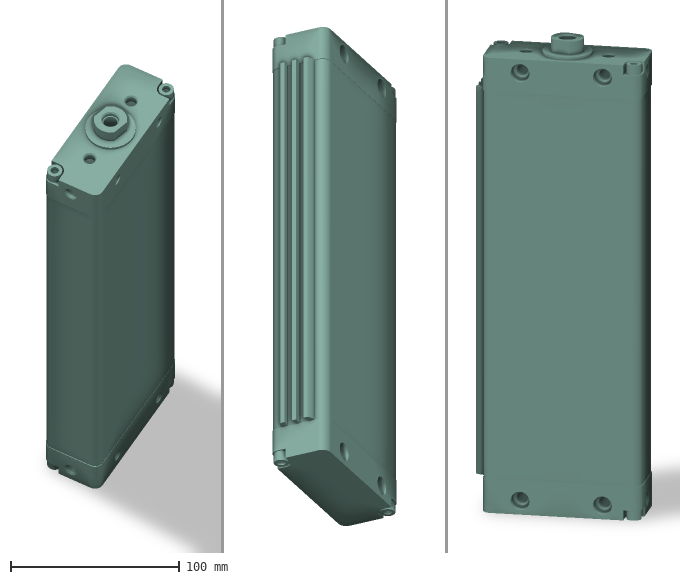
import cadquery as cq
import math


total_height = 292.0
body_width = 38.0
body_depth = 96.7
corner_radius = 5.3

cap_height = 21.0
rod_projection = 10.0
body_height = total_height - rod_projection
barrel_height = body_height - 2 * cap_height
barrel_side_inset = 0.15
barrel_front_inset = 0.45

collar_diameter = 30.0
collar_height = 1.8

rod_diameter = 20.0
wrench_width = 17.0
wrench_angle = 165.0
rod_hole_diameter = 8.5
rod_hole_depth = 14.5
rod_counterbore_diameter = 10.0
rod_counterbore_depth = 3.0
rod_countersink_diameter = 11.5

mounting_spacing = 50.0
mounting_hole_diameter = 6.7
mounting_counterbore_diameter = 11.5
mounting_counterbore_depth = 6.0
mounting_countersink_diameter = 8.5
cross_hole_inset = 8.5

blind_hole_diameter = 6.7
port_depth = 11.7
top_hole_depth = 4.7
blind_countersink_diameter = 8.5

pocket_diameter = 11.0
pocket_depth = 6.0
screw_inset = 5.3
head_diameter = 9.0
socket_diameter = 5.0
socket_depth = 3.0

rail_projection = 5.3
rail_top = body_depth / 2 + rail_projection
rail_lip_height = 3.2
middle_rail_width = 2.5
rail_lip_x = 6.5
rail_neck_x = 7.3
rail_outer_top_x = 9.0
rail_outer_base_x = 11.0

countersink_slope = 1.0
drill_point_slope = math.tan(math.radians(30))


def rounded_block(width, depth, height, radius):
    """Upright block centred on the Z axis with its base on Z = 0."""
    return cq.Workplane("XY").rect(width, depth).extrude(height).edges("|Z").fillet(radius)


def hole_cutter(diameter, depth, pointed=False):
    """Hole that opens at Z = 0 and runs down -Z to a flat floor or a drill point."""
    hole = cq.Workplane("XY").circle(diameter / 2).extrude(-depth)
    if not pointed:
        return hole
    return hole.union(cone_cutter(diameter, drill_point_slope).translate((0, 0, -depth)))


def cone_cutter(diameter, slope):
    """Cone with its wide end on Z = 0 and its tip down -Z; slope is its depth over its radius."""
    radius = diameter / 2
    profile = cq.Workplane("XZ").polyline([(0, 0), (radius, 0), (0, -radius * slope)]).close()
    return profile.revolve(360, (0, 0, 0), (0, 1, 0))


def countersink_cutter(diameter):
    """Countersink for a hole mouth on Z = 0."""
    return cone_cutter(diameter, countersink_slope)


def mounting_cutter():
    """Stepped through hole that enters the -X side and runs along +X."""
    countersink = countersink_cutter(mounting_countersink_diameter)
    hole = (
        hole_cutter(mounting_hole_diameter, body_width)
        .union(countersink.translate((0, 0, -mounting_counterbore_depth)))
        .union(hole_cutter(mounting_counterbore_diameter, mounting_counterbore_depth))
    )
    return hole.rotate((0, 0, 0), (0, 1, 0), -90).translate((-body_width / 2, 0, 0))


def blind_cutter(depth):
    """Flat-bottomed hole with a countersunk mouth on Z = 0, running down -Z."""
    return hole_cutter(blind_hole_diameter, depth).union(countersink_cutter(blind_countersink_diameter))


def corner_pocket_cutter():
    """Pocket below Z = 0, round around the screw axis and open to both sides of the corner."""
    radius = pocket_diameter / 2
    pocket = cq.Workplane("XY").circle(radius).extrude(-pocket_depth)
    opening = cq.Workplane("XY").rect(pocket_diameter, pocket_diameter).extrude(-pocket_depth)
    for towards_side in ((radius, 0, 0), (0, radius, 0)):
        pocket = pocket.union(opening.translate(towards_side))
    return pocket


def screw_head():
    """Socket screw head standing on the floor of a corner pocket below Z = 0."""
    head = cq.Workplane("XY").circle(head_diameter / 2).extrude(-pocket_depth)
    return head.cut(hole_cutter(socket_diameter, socket_depth, pointed=True))


def end_cap():
    """Cap with its outer face up on Z = cap_height."""
    cap = rounded_block(body_width, body_depth, cap_height, corner_radius)
    cross_hole_z = cap_height - cross_hole_inset
    for side in (-1, 1):
        cap = cap.cut(mounting_cutter().translate((0, side * mounting_spacing / 2, cross_hole_z)))
    corner = (body_width / 2 - screw_inset, body_depth / 2 - screw_inset, cap_height)
    for turn in (0, 180):
        pocket = corner_pocket_cutter().translate(corner).rotate((0, 0, 0), (0, 0, 1), turn)
        head = screw_head().translate(corner).rotate((0, 0, 0), (0, 0, 1), turn)
        cap = cap.cut(pocket).union(head)
    port = blind_cutter(port_depth).rotate((0, 0, 0), (1, 0, 0), 90)
    return cap.cut(port.translate((0, -body_depth / 2, cross_hole_z)))


def make_upper_cap():
    """End cap with a bearing collar, a bore for the rod and two blind holes in its top."""
    collar = cq.Workplane("XY").circle(collar_diameter / 2).extrude(collar_height)
    cap = end_cap().union(collar.translate((0, 0, cap_height)))
    bore = cq.Workplane("XY").circle(rod_diameter / 2).extrude(cap_height + collar_height)
    cap = cap.cut(bore)
    for side in (-1, 1):
        cap = cap.cut(blind_cutter(top_hole_depth).translate((0, side * mounting_spacing / 2, cap_height)))
    return cap.translate((0, 0, body_height - cap_height))


def make_lower_cap():
    """End cap turned over, so that its outer face lies on Z = 0."""
    return end_cap().mirror("XY").translate((0, 0, cap_height))


def make_barrel():
    """Barrel just inside the outline of the caps, with three sensor rails along its back."""
    barrel_width = body_width - 2 * barrel_side_inset
    barrel_depth = body_depth - 2 * barrel_front_inset
    barrel = rounded_block(barrel_width, barrel_depth, barrel_height, corner_radius)
    root_y = barrel_depth / 2 - corner_radius
    lip_y = rail_top - rail_lip_height
    middle_rail = cq.Workplane("XY").box(
        middle_rail_width, rail_top - root_y, barrel_height, centered=(True, False, False)
    )
    barrel = barrel.union(middle_rail.translate((0, root_y, 0)))
    outer_rail = (
        cq.Workplane("XY")
        .moveTo(rail_outer_base_x, root_y)
        .lineTo(rail_outer_base_x, barrel_depth / 2)
        .tangentArcPoint((rail_outer_top_x, rail_top), relative=False)
        .lineTo(rail_lip_x, rail_top)
        .lineTo(rail_lip_x, lip_y)
        .lineTo(rail_neck_x, lip_y)
        .lineTo(rail_neck_x, root_y)
        .close()
        .extrude(barrel_height)
    )
    barrel = barrel.union(outer_rail).union(outer_rail.mirror("YZ"))
    return barrel.translate((0, 0, cap_height))


def make_rod():
    """Piston rod from the barrel up through the cap, with two wrench flats and a stepped end hole."""
    rod_base = body_height - cap_height
    rod_length = total_height - rod_base
    rod = cq.Workplane("XY").workplane(offset=rod_base).circle(rod_diameter / 2).extrude(rod_length)
    flat_base = body_height + collar_height
    flat_height = total_height - flat_base
    for turn in (0, 180):
        beyond_flat = (
            cq.Workplane("XY")
            .workplane(offset=flat_base)
            .center(wrench_width / 2 + rod_diameter / 2, 0)
            .rect(rod_diameter, rod_diameter)
            .extrude(flat_height)
            .rotate((0, 0, 0), (0, 0, 1), wrench_angle + turn)
        )
        rod = rod.cut(beyond_flat)
    hole = (
        hole_cutter(rod_hole_diameter, rod_hole_depth, pointed=True)
        .union(hole_cutter(rod_counterbore_diameter, rod_counterbore_depth))
        .union(countersink_cutter(rod_countersink_diameter))
    )
    return rod.cut(hole.translate((0, 0, total_height)))


barrel = make_barrel()
lower_cap = make_lower_cap()
upper_cap = make_upper_cap()
rod = make_rod()

result = cq.Compound.makeCompound([barrel.val(), lower_cap.val(), upper_cap.val(), rod.val()])